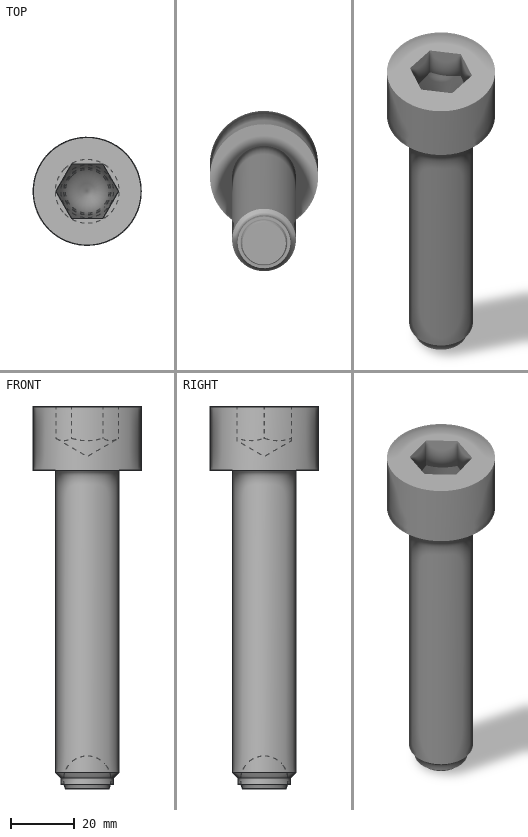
import cadquery as cq
import math

total_length = 120.0
head_diameter = 34.0
head_height = 20.0
shank_diameter = 20.0

neck_diameter = 16.5
neck_bottom_z = 1.5
neck_height = 2.0
shank_chamfer = (shank_diameter - neck_diameter) / 2

hex_across_flats = 17.0
hex_corner_radius = hex_across_flats / math.sqrt(3)
hex_depth = 10.0
drill_point_angle = 120.0
cone_height = hex_corner_radius / math.tan(math.radians(drill_point_angle / 2))

ball_radius = 7.5
flat_diameter = 13.7
ball_center_z = math.sqrt(ball_radius**2 - (flat_diameter / 2) ** 2)


def make_sphere():
    """Full sphere that shapes both the ball and its seat."""
    return cq.Workplane("XY").sphere(ball_radius).translate((0, 0, ball_center_z))


def make_hex_socket():
    """Hexagonal prism standing on a cone, corners along X, trimmed to the hexagon."""
    prism = (
        cq.Workplane("XY")
        .workplane(offset=total_length)
        .polygon(6, 2 * hex_corner_radius)
        .extrude(-(hex_depth + cone_height))
    )
    rim_z = total_length - hex_depth
    drill_hole = (
        cq.Workplane("XZ")
        .moveTo(0, rim_z - cone_height)
        .lineTo(hex_corner_radius, rim_z)
        .lineTo(hex_corner_radius, total_length)
        .lineTo(0, total_length)
        .close()
        .revolve(360, (0, 0), (0, 1))
    )
    return prism.intersect(drill_hole)


def make_screw():
    """Cap screw with a hexagon socket and a spherical seat in its tip."""
    head_radius = head_diameter / 2
    shank_radius = shank_diameter / 2
    neck_radius = neck_diameter / 2
    neck_top_z = neck_bottom_z + neck_height
    head_bottom_z = total_length - head_height
    blank = (
        cq.Workplane("XZ")
        .moveTo(0, neck_bottom_z)
        .lineTo(neck_radius, neck_bottom_z)
        .lineTo(neck_radius, neck_top_z)
        .lineTo(shank_radius, neck_top_z + shank_chamfer)
        .lineTo(shank_radius, head_bottom_z)
        .lineTo(head_radius, head_bottom_z)
        .lineTo(head_radius, total_length)
        .lineTo(0, total_length)
        .close()
        .revolve(360, (0, 0), (0, 1))
    )
    return blank.cut(make_hex_socket()).cut(make_sphere())


def make_ball():
    """Ball cut off flat at Z = 0, captive in the screw tip."""
    ball_size = 2 * ball_radius
    keep_above_flat = cq.Workplane("XY").box(
        ball_size, ball_size, ball_size, centered=(True, True, False)
    )
    return make_sphere().intersect(keep_above_flat)


screw = make_screw()
ball = make_ball()

result = cq.Compound.makeCompound([screw.val(), ball.val()])